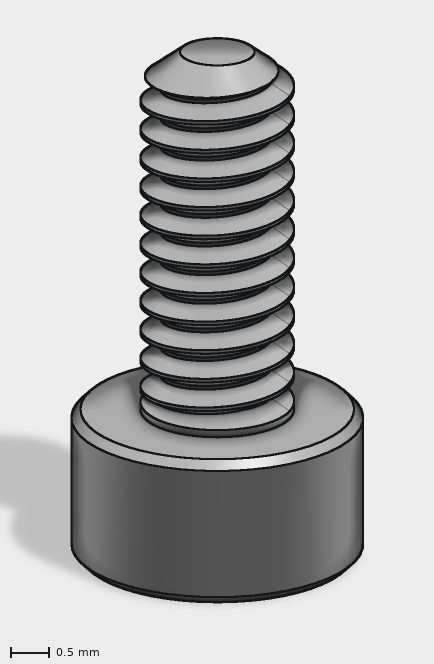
import cadquery as cq
import math

total_length = 7.0
head_diameter = 3.8
head_height = 2.0
head_chamfer = 0.12

shaft_diameter = 2.0
pitch = shaft_diameter / 5
half_flank_angle = math.radians(30)
crest_flat = pitch / 8
root_flat = pitch / 8
thread_depth = (pitch - crest_flat - root_flat) / 2 / math.tan(half_flank_angle)

tip_diameter = 0.97
tip_cone_height = pitch
collar_height = pitch / 4
ridge_overlap = 0.02
crest_stock = 0.02
collar_stock = 0.04

shaft_radius = shaft_diameter / 2
tip_radius = tip_diameter / 2
root_radius = shaft_radius - thread_depth
collar_top = head_height + collar_height


def make_head():
    """Cylindrical head, chamfered on both rims."""
    blank = cq.Workplane("XY").circle(head_diameter / 2).extrude(head_height)
    return blank.faces("<Z or >Z").chamfer(head_chamfer)


def make_core():
    """Full-width collar on the head, tapering at the flank angle to the thread root."""
    taper_top = collar_top + thread_depth * math.tan(half_flank_angle)
    stock_radius = shaft_radius + collar_stock
    stock_top = collar_top - collar_stock * math.tan(half_flank_angle)
    profile = [
        (0, head_height),
        (stock_radius, head_height),
        (stock_radius, stock_top),
        (root_radius, taper_top),
        (root_radius, total_length),
        (0, total_length),
    ]
    return cq.Workplane("XZ").polyline(profile).close().revolve(360, (0, 0), (0, 1))


def make_section_cap(edges, at_start):
    """Flat face closing one end of the ridge."""
    corners = [edge.startPoint() if at_start else edge.endPoint() for edge in edges]
    return cq.Face.makeFromWires(cq.Wire.makePolygon(corners, close=True))


def make_ridge():
    """Right-handed ridge, built turn by turn, from inside the head to beyond the tip."""
    start = collar_top - crest_flat / 2 - pitch
    turns = math.ceil((total_length + pitch - start) / pitch)
    base_radius = root_radius - ridge_overlap
    stock_radius = shaft_radius + crest_stock
    half_crest = crest_flat / 2 - crest_stock * math.tan(half_flank_angle)
    half_base = half_crest + (stock_radius - base_radius) * math.tan(half_flank_angle)
    section = [
        (base_radius, -half_base),
        (stock_radius, -half_crest),
        (stock_radius, half_crest),
        (base_radius, half_base),
    ]
    faces = []
    for turn in range(turns):
        turn_start = start + turn * pitch
        edges = []
        for radius, offset in section:
            helix = cq.Wire.makeHelix(pitch, pitch, radius)
            edges.append(helix.translate(cq.Vector(0, 0, turn_start + offset)).Edges()[0])
        for edge, next_edge in zip(edges, edges[1:] + edges[:1]):
            faces.append(cq.Face.makeRuledSurface(edge, next_edge))
        if turn == 0:
            faces.append(make_section_cap(edges, at_start=True))
        if turn == turns - 1:
            faces.append(make_section_cap(edges, at_start=False))
    return cq.Workplane(cq.Solid.makeSolid(cq.Shell.makeShell(faces)))


def make_shaft_envelope():
    """Cylinder with a conical tip that trims the threaded shaft."""
    profile = [
        (0, head_height),
        (shaft_radius, head_height),
        (shaft_radius, total_length - tip_cone_height),
        (tip_radius, total_length),
        (0, total_length),
    ]
    return cq.Workplane("XZ").polyline(profile).close().revolve(360, (0, 0), (0, 1))


shaft = make_core().union(make_ridge()).intersect(make_shaft_envelope())
result = make_head().union(shaft)